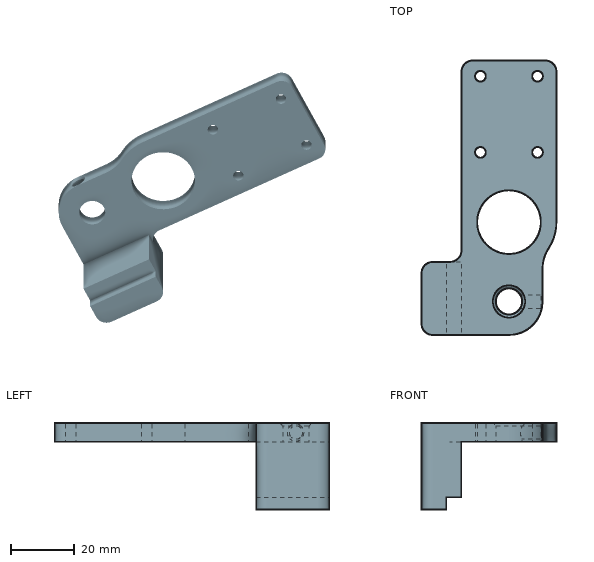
import cadquery as cq
import math

plate_thickness = 6.0
arm_half_width = 15.0
arm_top_y = 51.0
corner_radius = 3.6
neck_radius = 12.0
bore_diameter = 20.0

pivot_y = -25.0
end_radius = 10.6
pivot_diameter = 8.2
pivot_countersink_diameter = 10.2
pivot_countersink_angle = 90.0

cross_hole_diameter = 4.2
cross_countersink_diameter = 5.5
cross_countersink_angle = 90.0

mount_diameter = 3.3
mount_spacing_x = 18.0
mount_spacing_y = 24.0
mount_first_y = 22.0

total_height = 27.38
leg_width = 12.6
leg_length = 23.1
foot_width = 7.9
foot_height = 3.9

leg_right_x = -arm_half_width
leg_left_x = leg_right_x - leg_width
bottom_y = pivot_y - end_radius
leg_top_y = bottom_y + leg_length


def plate():
    neck_x = end_radius + neck_radius
    centre_distance = arm_half_width + neck_radius
    neck_y = -math.sqrt(centre_distance**2 - neck_x**2)
    tangent_ratio = arm_half_width / centre_distance
    tangent_point = (neck_x * tangent_ratio, neck_y * tangent_ratio)
    end_offset = end_radius * math.cos(math.radians(45))

    outline = (
        cq.Workplane("XY")
        .moveTo(leg_left_x, bottom_y)
        .lineTo(0, bottom_y)
        .threePointArc((end_offset, pivot_y - end_offset), (end_radius, pivot_y))
        .lineTo(end_radius, neck_y)
        .tangentArcPoint(tangent_point, relative=False)
        .tangentArcPoint((arm_half_width, 0), relative=False)
        .lineTo(arm_half_width, arm_top_y)
        .lineTo(-arm_half_width, arm_top_y)
        .lineTo(-arm_half_width, leg_top_y)
        .lineTo(leg_left_x, leg_top_y)
        .close()
    )
    return outline.extrude(-plate_thickness)


def leg():
    profile = (
        cq.Workplane("XZ", origin=(0, bottom_y, 0))
        .moveTo(leg_left_x, 0)
        .lineTo(leg_right_x, 0)
        .lineTo(leg_right_x, foot_height - total_height)
        .lineTo(leg_left_x + foot_width, foot_height - total_height)
        .lineTo(leg_left_x + foot_width, -total_height)
        .lineTo(leg_left_x, -total_height)
        .close()
    )
    return profile.extrude(-leg_length)


def round_corners(body):
    inner_corner = (-arm_half_width, leg_top_y)
    corners = [
        (leg_left_x, bottom_y),
        (leg_left_x, leg_top_y),
        (-arm_half_width, arm_top_y),
        (arm_half_width, arm_top_y),
        inner_corner,
    ]
    for x, y in corners:
        nearest = cq.selectors.NearestToPointSelector((x, y, -plate_thickness / 2))
        body = body.edges("|Z").edges(nearest).fillet(corner_radius)
    return body


def cross_hole():
    side = cq.Workplane("YZ", origin=(end_radius, pivot_y, -plate_thickness / 2))
    mouth_radius = cross_countersink_diameter / 2
    cone_height = mouth_radius / math.tan(math.radians(cross_countersink_angle / 2))
    bore = side.circle(cross_hole_diameter / 2).extrude(-end_radius)
    cone = cq.Solid.makeCone(mouth_radius, 0, cone_height, pnt=side.plane.origin, dir=-side.plane.zDir)
    return bore.union(cq.Workplane(cone))


def cut_holes(body):
    top = cq.Workplane("XY")
    body = body.cut(top.circle(bore_diameter / 2).extrude(-plate_thickness))
    mounts = (
        top.center(0, mount_first_y + mount_spacing_y / 2)
        .rarray(mount_spacing_x, mount_spacing_y, 2, 2)
        .circle(mount_diameter / 2)
        .extrude(-plate_thickness)
    )
    body = body.cut(mounts)
    body = body.cut(cross_hole())
    return (
        body.faces(">Z")
        .workplane(origin=(0, pivot_y, 0))
        .cskHole(pivot_diameter, pivot_countersink_diameter, pivot_countersink_angle)
    )


result = cut_holes(round_corners(plate().union(leg())))